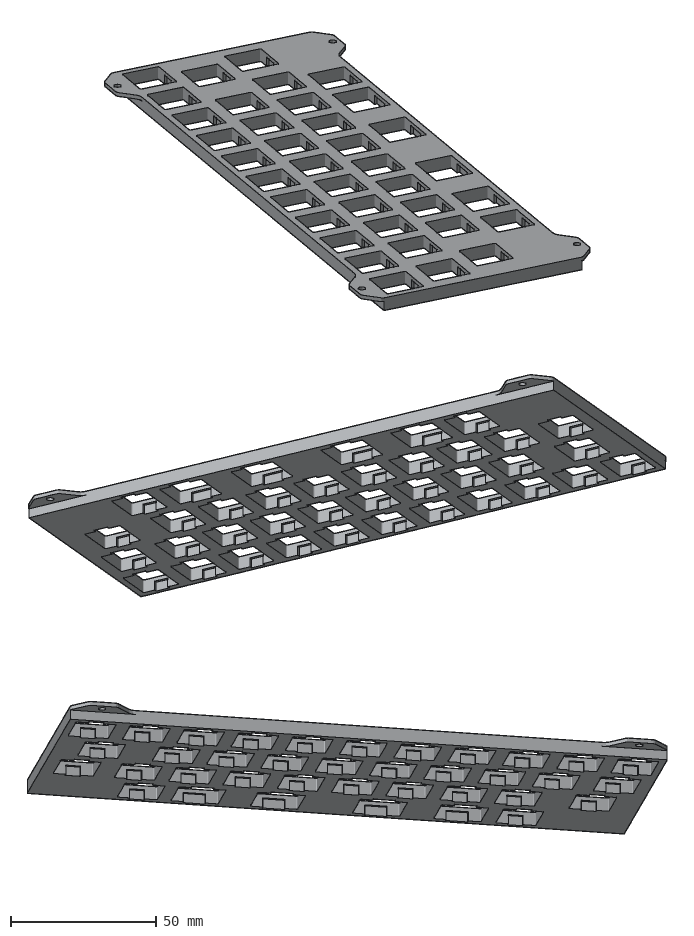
import cadquery as cq

LENGTH = 209.5
WIDTH = 88.2
HEIGHT = 4.8

KEY_PITCH = LENGTH / 11
BODY_WIDTH = 4 * KEY_PITCH
LIP = 1.5

TAB_REACH = (WIDTH - BODY_WIDTH) / 2
TAB_CHAMFER = 5.7
TAB_TIP_LENGTH = 9.6
TAB_CORNER_RADIUS = 2.0
TAB_ROOT_RADIUS = 3.8

HOLE_INSET_X = 10.5
HOLE_INSET_Y = 2.7
HOLE_DIAMETER = 2.5

OPENING = 14.0
WIDE_OPENING = 16.5
OPENING_RADIUS = 0.5
NOTCH_END_MARGIN = 4.5
NOTCH_DEPTH = 1.0

FULL_ROWS = [
    [1.0] * 11,
    [1.75] + [1.0] * 8 + [1.25],
    [1.25] + [1.0] * 8 + [1.75],
]

BACK_ROW = [
    (-66.6, OPENING),
    (-46.5, WIDE_OPENING),
    (-18.6, WIDE_OPENING),
    (17.2, WIDE_OPENING),
    (45.7, WIDE_OPENING),
    (66.2, OPENING),
]


def row_y(row):
    """Centre of a key row in Y, counted from the front."""
    return (row + 0.5) * KEY_PITCH - BODY_WIDTH / 2


def key_openings():
    """Return (x, y, length) of every switch opening."""
    openings = []
    for row, key_widths in enumerate(FULL_ROWS):
        key_start = -LENGTH / 2
        for key_width in key_widths:
            key_length = key_width * KEY_PITCH
            openings.append((key_start + key_length / 2, row_y(row), OPENING))
            key_start += key_length
    back_y = row_y(len(FULL_ROWS))
    openings += [(x, back_y, length) for x, length in BACK_ROW]
    return openings


def block(length, width, z_bottom, z_top):
    """Box centred on the Z axis."""
    return cq.Workplane("XY").workplane(offset=z_bottom).rect(length, width).extrude(z_top - z_bottom)


def fillet_upright_edges(plate, x, y, radius):
    """Round the four mirrored vertical edges that stand at (+-x, +-y)."""
    for side_x in (-x, x):
        for side_y in (-y, y):
            edge = cq.selectors.NearestToPointSelector((side_x, side_y, HEIGHT / 2))
            plate = plate.edges("|Z").edges(edge).fillet(radius)
    return plate


def make_outline_plate():
    """Plate with its four tabs, all at full height."""
    half_x = LENGTH / 2
    half_y = WIDTH / 2
    tip_outer_x = half_x - TAB_CHAMFER
    tip_inner_x = tip_outer_x - TAB_TIP_LENGTH

    root = (tip_inner_x - TAB_REACH, BODY_WIDTH / 2)
    tab_corners = [
        (half_x, half_y - TAB_CHAMFER),
        (tip_outer_x, half_y),
        (tip_inner_x, half_y),
    ]
    right_back = tab_corners + [root]
    left_back = [(-x, y) for x, y in reversed(right_back)]
    back = right_back + left_back
    front = [(-x, -y) for x, y in back]
    plate = cq.Workplane("XY").polyline(back + front).close().extrude(HEIGHT)

    for x, y in tab_corners:
        plate = fillet_upright_edges(plate, x, y, TAB_CORNER_RADIUS)
    return fillet_upright_edges(plate, *root, TAB_ROOT_RADIUS)


def make_plate():
    """Keep the body at full height and thin the tabs to the lip thickness."""
    body = block(LENGTH, BODY_WIDTH, 0, HEIGHT)
    tab_layer = block(LENGTH, WIDTH, HEIGHT - LIP, HEIGHT)
    return make_outline_plate().intersect(body.union(tab_layer))


def cut_openings(plate):
    for x, y, length in key_openings():
        opening = block(length, OPENING, 0, HEIGHT).edges("|Z").fillet(OPENING_RADIUS)
        notch_length = length - 2 * NOTCH_END_MARGIN
        notch = block(notch_length, OPENING + 2 * NOTCH_DEPTH, 0, HEIGHT - LIP)
        plate = plate.cut(opening.union(notch).translate((x, y, 0)))
    return plate


def cut_screw_holes(plate):
    spacing_x = LENGTH - 2 * HOLE_INSET_X
    spacing_y = WIDTH - 2 * HOLE_INSET_Y
    holes = (
        cq.Workplane("XY")
        .rect(spacing_x, spacing_y, forConstruction=True)
        .vertices()
        .circle(HOLE_DIAMETER / 2)
        .extrude(HEIGHT)
    )
    return plate.cut(holes)


result = cut_screw_holes(cut_openings(make_plate()))